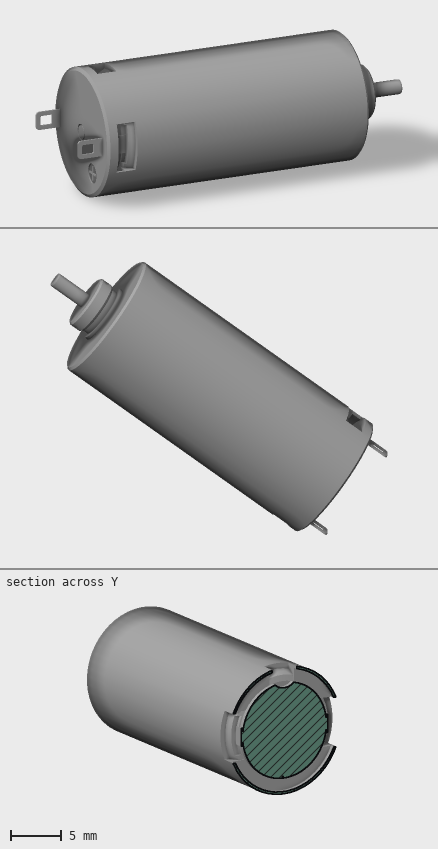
import cadquery as cq

TOTAL_LENGTH = 37.0

BODY_DIAMETER = 13.0
CAN_LENGTH = 25.1
CAP_LENGTH = 3.15
EDGE_CHAMFER = 0.22
CAP_CHAMFER_RADIAL = 0.35

SHAFT_REACH = 6.15
SHAFT_RADIUS = 0.75
SHAFT_CHAMFER = 0.15
SHAFT_CHAMFER_RADIAL = 0.05
BEARING_REACH = 2.45
BEARING_RADIUS = 2.75
BEARING_LENGTH = 1.25
BEARING_CHAMFER = 0.2
NECK_RADIUS = 2.48
FLANGE_RADIUS = 2.95
FLANGE_THICKNESS = 0.37

WINDOW_LENGTH = 2.05
SIDE_WINDOW_WIDTH = 5.0
TOP_WINDOW_WIDTH = 2.8
RAMP_START_RADIUS = 5.92
RAMP_END_RADIUS = 5.48
RAMP_LENGTH = 0.8
STEP_LENGTH = 0.2
FLOOR_RADIUS = 4.9
CAVITY_RADIUS = 6.2
NOTCH_WIDTH = 4.0
NOTCH_FLOOR_RADIUS = 5.05
NOTCH_LENGTH = 1.45
TROUGH_WIDTH = 2.15
TROUGH_RADIUS = 1.63

TERMINAL_OFFSET = 4.95
TERMINAL_THICKNESS = 0.2
TERMINAL_WIDTH = 1.85
TERMINAL_CORNER = 0.35
EYE_LENGTH = 1.25
EYE_WIDTH = 1.0
EYE_END_MARGIN = 0.45
EYE_CORNER = 0.15

MARK_DEPTH = 0.15
SHAFT_GROOVE_RADIUS = 0.85
SHAFT_END_RADIUS = 0.7
POLARITY_X = 2.63
POLARITY_Z = -3.48
POLARITY_RADIUS = 1.0
PLUS_LENGTH = 1.45
PLUS_WIDTH = 0.2

BODY_RADIUS = BODY_DIAMETER / 2
REAR_Y = -CAN_LENGTH - CAP_LENGTH
SEAM_Y = -CAN_LENGTH
WINDOW_REAR_Y = SEAM_Y - WINDOW_LENGTH
TERMINAL_END_Y = SHAFT_REACH - TOTAL_LENGTH


def revolve_profile(points):
    """Revolve a closed (radius, y) outline about the motor axis."""
    return cq.Workplane("XY").polyline(points).close().revolve(360, (0, 0, 0), (0, 1, 0))


def block(x_range, y_range, z_range):
    """Box given by its lower and upper limits along each axis."""
    lows, highs = zip(x_range, y_range, z_range)
    sizes = [high - low for low, high in zip(lows, highs)]
    return cq.Workplane("XY").box(*sizes, centered=False).translate(lows)


def rear_disc(radius, x=0, z=0):
    """Shallow disc sunk into the rear face of the cap."""
    return cq.Workplane("XZ", origin=(x, REAR_Y, z)).circle(radius).extrude(-MARK_DEPTH)


def motor_body():
    bearing_rear = BEARING_REACH - BEARING_LENGTH
    neck_start = bearing_rear - (BEARING_RADIUS - NECK_RADIUS)
    return revolve_profile([
        (0, REAR_Y),
        (BODY_RADIUS - CAP_CHAMFER_RADIAL, REAR_Y),
        (BODY_RADIUS, REAR_Y + EDGE_CHAMFER),
        (BODY_RADIUS, -EDGE_CHAMFER),
        (BODY_RADIUS - EDGE_CHAMFER, 0),
        (FLANGE_RADIUS, 0),
        (FLANGE_RADIUS, FLANGE_THICKNESS),
        (NECK_RADIUS, FLANGE_THICKNESS),
        (NECK_RADIUS, neck_start),
        (BEARING_RADIUS, bearing_rear),
        (BEARING_RADIUS, BEARING_REACH - BEARING_CHAMFER),
        (BEARING_RADIUS - BEARING_CHAMFER, BEARING_REACH),
        (SHAFT_RADIUS, BEARING_REACH),
        (SHAFT_RADIUS, SHAFT_REACH - SHAFT_CHAMFER),
        (SHAFT_RADIUS - SHAFT_CHAMFER_RADIAL, SHAFT_REACH),
        (0, SHAFT_REACH),
    ])


def window_cutters():
    """Two side windows and one top window, ramped at the can end, opening into a ring cavity."""
    outside = BODY_RADIUS + 0.37
    ramp_end = SEAM_Y - RAMP_LENGTH
    floor_start = ramp_end - STEP_LENGTH
    window_ring = revolve_profile([
        (outside, SEAM_Y),
        (RAMP_START_RADIUS, SEAM_Y),
        (RAMP_END_RADIUS, ramp_end),
        (FLOOR_RADIUS, floor_start),
        (FLOOR_RADIUS, WINDOW_REAR_Y),
        (outside, WINDOW_REAR_Y),
    ])
    cavity = revolve_profile([
        (CAVITY_RADIUS, floor_start),
        (FLOOR_RADIUS, floor_start),
        (FLOOR_RADIUS, WINDOW_REAR_Y),
        (CAVITY_RADIUS, WINDOW_REAR_Y),
    ])
    notch_front = WINDOW_REAR_Y + NOTCH_LENGTH
    notch_ring = revolve_profile([
        (outside, notch_front),
        (NOTCH_FLOOR_RADIUS, notch_front),
        (NOTCH_FLOOR_RADIUS, WINDOW_REAR_Y),
        (outside, WINDOW_REAR_Y),
    ])

    window_y = (WINDOW_REAR_Y, SEAM_Y)
    side_half = SIDE_WINDOW_WIDTH / 2
    top_half = TOP_WINDOW_WIDTH / 2
    notch_half = NOTCH_WIDTH / 2
    across = (-outside, outside)
    sides = window_ring.intersect(block(across, window_y, (-side_half, side_half)))
    notches = notch_ring.intersect(block(across, window_y, (-notch_half, notch_half)))
    top = window_ring.intersect(block((-top_half, top_half), window_y, (0, outside)))

    trough_half = TROUGH_WIDTH / 2
    trough_rise = (TROUGH_RADIUS**2 - trough_half**2) ** 0.5
    rim_height = (FLOOR_RADIUS**2 - trough_half**2) ** 0.5
    trough = (
        cq.Workplane("XZ", origin=(0, floor_start, rim_height + trough_rise))
        .circle(TROUGH_RADIUS)
        .extrude(floor_start - WINDOW_REAR_Y)
        .intersect(block((-trough_half, trough_half), window_y, (0, outside)))
    )
    return [sides, notches, top, cavity, trough]


def terminal(x):
    """Flat solder tab with an eye, rooted in the cap behind the side window."""
    half_width = TERMINAL_WIDTH / 2
    root_y = WINDOW_REAR_Y + NOTCH_LENGTH
    thickness_range = (x - TERMINAL_THICKNESS / 2, x + TERMINAL_THICKNESS / 2)
    tab = block(thickness_range, (TERMINAL_END_Y, root_y), (-half_width, half_width))
    tab = tab.faces("<Y").edges("|X").fillet(TERMINAL_CORNER)
    eye_start = TERMINAL_END_Y + EYE_END_MARGIN
    eye = block(thickness_range, (eye_start, eye_start + EYE_LENGTH), (-EYE_WIDTH / 2, EYE_WIDTH / 2))
    return tab.cut(eye.edges("|X").fillet(EYE_CORNER))


def shaft_groove():
    """Fine ring groove around the rear end of the shaft."""
    return rear_disc(SHAFT_GROOVE_RADIUS).cut(rear_disc(SHAFT_END_RADIUS))


def polarity_mark():
    """Round recess with a plus sign left standing in it."""
    recess = rear_disc(POLARITY_RADIUS, POLARITY_X, POLARITY_Z)
    for length_x, length_z in [(PLUS_LENGTH, PLUS_WIDTH), (PLUS_WIDTH, PLUS_LENGTH)]:
        bar = (
            cq.Workplane("XZ", origin=(POLARITY_X, REAR_Y, POLARITY_Z))
            .rect(length_x, length_z)
            .extrude(-MARK_DEPTH)
        )
        recess = recess.cut(bar)
    return recess


result = motor_body()
for cutter in window_cutters():
    result = result.cut(cutter)
result = result.cut(shaft_groove()).cut(polarity_mark())
for side in (-1, 1):
    result = result.union(terminal(side * TERMINAL_OFFSET))